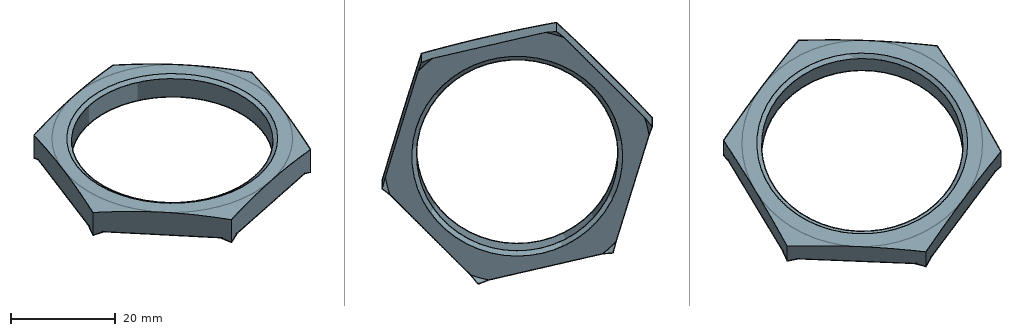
import cadquery as cq
import math

side_count = 6
across_flats = 46.0
total_height = 6.5
bore_diameter = 38.5
bore_chamfer_width = 0.9
bore_chamfer_angle = 30.0
top_bevel_angle = 15.0
tooth_height = 1.0
tooth_flank_angle = 45.0

half_side_angle = 180.0 / side_count
flat_radius = across_flats / 2
corner_radius = flat_radius / math.cos(math.radians(half_side_angle))

bore_radius = bore_diameter / 2
bore_mouth_radius = bore_radius + bore_chamfer_width
bore_chamfer_depth = bore_chamfer_width * math.tan(math.radians(bore_chamfer_angle))

top_bevel_drop = (corner_radius - flat_radius) * math.tan(math.radians(top_bevel_angle))
tooth_inner_radius = corner_radius - tooth_height / math.tan(math.radians(tooth_flank_angle))


def hexagon():
    """Hexagonal prism with flats facing +X and -X and corners on the Y axis."""
    return (
        cq.Workplane("XY")
        .polygon(side_count, 2 * corner_radius)
        .extrude(total_height)
        .rotate((0, 0, 0), (0, 0, 1), half_side_angle)
    )


def turned_envelope():
    """Ring whose profile carries the chamfered bore, the top bevel and the seat between the teeth."""
    profile = [
        (bore_radius, tooth_height + bore_chamfer_depth),
        (bore_mouth_radius, tooth_height),
        (tooth_inner_radius, tooth_height),
        (corner_radius, 0),
        (corner_radius, total_height - top_bevel_drop),
        (flat_radius, total_height),
        (bore_mouth_radius, total_height),
        (bore_radius, total_height - bore_chamfer_depth),
    ]
    return cq.Workplane("XZ").polyline(profile).close().revolve(360, (0, 0, 0), (0, 1, 0))


result = hexagon().intersect(turned_envelope())